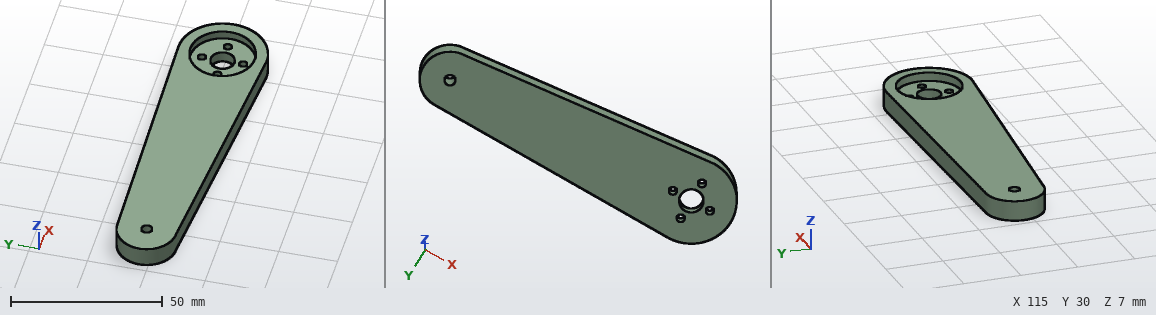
import cadquery as cq

total_length = 115.0
hub_diameter = 30.0
tip_diameter = 20.0
tip_offset_y = 3.0
thickness = 7.0

recess_diameter = 22.0
recess_depth = 3.0
bore_diameter = 8.0
screw_hole_diameter = 2.6
screw_circle_radius = 7.0
screw_count = 4
tip_hole_diameter = 3.6

hub_radius = hub_diameter / 2
tip_radius = tip_diameter / 2
tip_x = hub_radius + tip_radius - total_length


def make_arm():
    """Tapered plate whose straight sides join the ends of two half circles."""
    return (
        cq.Workplane("XY")
        .moveTo(0, -hub_radius)
        .threePointArc((hub_radius, 0), (0, hub_radius))
        .lineTo(tip_x, tip_offset_y + tip_radius)
        .threePointArc((tip_x - tip_radius, tip_offset_y), (tip_x, tip_offset_y - tip_radius))
        .close()
        .extrude(thickness)
    )


def cut_hub(arm):
    """Round recess in the top face, with a bore and a ring of screw holes through its floor."""
    top = arm.faces(">Z").workplane(origin=(0, 0, thickness))
    arm = top.circle(recess_diameter / 2).cutBlind(-recess_depth)
    bore = cq.Workplane("XY").circle(bore_diameter / 2).extrude(thickness)
    screw_holes = (
        cq.Workplane("XY")
        .polarArray(screw_circle_radius, 0, 360, screw_count)
        .circle(screw_hole_diameter / 2)
        .extrude(thickness)
    )
    return arm.cut(bore).cut(screw_holes)


def cut_tip_hole(arm):
    """Through hole on the axis of the small end."""
    hole = (
        cq.Workplane("XY")
        .center(tip_x, tip_offset_y)
        .circle(tip_hole_diameter / 2)
        .extrude(thickness)
    )
    return arm.cut(hole)


result = cut_tip_hole(cut_hub(make_arm()))